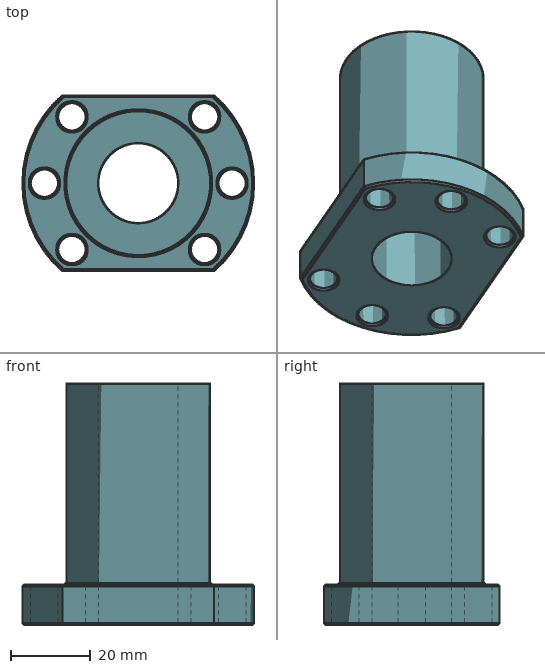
import cadquery as cq

total_height = 60.35
flange_diameter = 58.0
flange_width = 44.0
flange_thickness = 10.0
flange_chamfer = 0.5

barrel_diameter = 36.0
bore_diameter = 20.0

root_bevel = 0.5

hole_diameter = 6.9
hole_chamfer = 0.5
hole_circle_diameter = 46.95
hole_angles = (-45, 0, 45, 135, 180, 225)


def make_flange():
    """Round flange cut to two flats, with chamfered top and bottom edges."""
    disc = cq.Workplane("XY").circle(flange_diameter / 2).extrude(flange_thickness)
    flats = cq.Workplane("XY").rect(flange_diameter, flange_width).extrude(flange_thickness)
    return disc.intersect(flats).faces("<Z or >Z").edges().chamfer(flange_chamfer)


def make_root_bevel():
    """Cone that widens the barrel where it meets the flange."""
    radius = barrel_diameter / 2
    profile = [
        (0, flange_thickness),
        (radius + root_bevel, flange_thickness),
        (radius, flange_thickness + root_bevel),
        (0, flange_thickness + root_bevel),
    ]
    return cq.Workplane("XZ").polyline(profile).close().revolve(360, (0, 0), (0, 1))


def make_hole(angle):
    """Cutter for one through hole, chamfered at both flange faces."""
    radius = hole_diameter / 2
    mouth_radius = radius + hole_chamfer
    profile = [
        (0, 0),
        (mouth_radius, 0),
        (radius, hole_chamfer),
        (radius, flange_thickness - hole_chamfer),
        (mouth_radius, flange_thickness),
        (0, flange_thickness),
    ]
    cutter = cq.Workplane("XZ").polyline(profile).close().revolve(360, (0, 0), (0, 1))
    cutter = cutter.translate((hole_circle_diameter / 2, 0, 0))
    return cutter.rotate((0, 0, 0), (0, 0, 1), angle)


barrel = cq.Workplane("XY").circle(barrel_diameter / 2).extrude(total_height)
bore = cq.Workplane("XY").circle(bore_diameter / 2).extrude(total_height)

result = make_flange().union(make_root_bevel()).union(barrel).cut(bore)
for hole_angle in hole_angles:
    result = result.cut(make_hole(hole_angle))